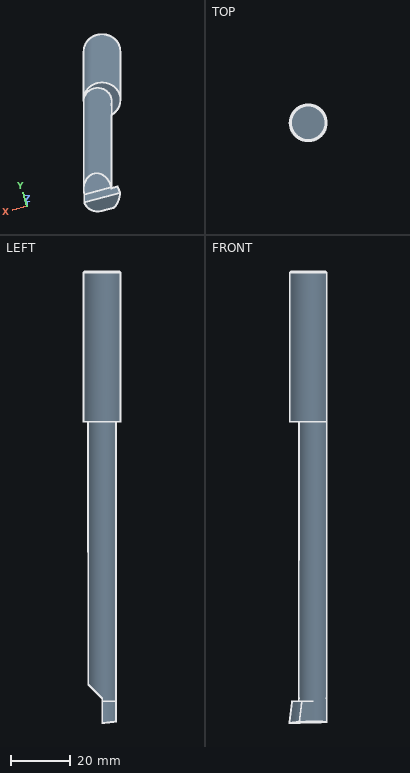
import cadquery as cq
import math

total_length = 152.4
shank_diameter = 12.5
shank_length = 50.7
shank_chamfer = 0.5
neck_diameter = 9.5
relief_height = 8.4
head_height = 7.5
tip_x = -6.4
head_lean = 0.9
knee_x, knee_y = -4.3, -3.7
heel_x = -3.0
flank_bulge = 0.23
end_rise_across = 0.3
end_rise_back = 0.5

shank_radius = shank_diameter / 2
neck_radius = neck_diameter / 2
neck_x = shank_radius - neck_radius


def make_shank():
    shank = cq.Workplane("XY").workplane(offset=total_length - shank_length)
    return shank.circle(shank_radius).extrude(shank_length).faces(">Z").chamfer(shank_chamfer)


def make_neck():
    neck_length = total_length - shank_length
    neck = cq.Workplane("XY").center(neck_x, 0).circle(neck_radius).extrude(neck_length)
    relief = (
        cq.Workplane("YZ")
        .moveTo(0, 0)
        .lineTo(0, relief_height)
        .lineTo(shank_diameter, relief_height + shank_diameter)
        .lineTo(shank_diameter, 0)
        .close()
        .extrude(shank_diameter, both=True)
    )
    return neck.cut(relief)


def draw_head_section(plane, shift):
    """Head outline with its cutting flank moved along X by shift."""
    chord_x = knee_x - tip_x
    chord = math.hypot(chord_x, knee_y)
    bulge_x = (tip_x + knee_x) / 2 + flank_bulge * knee_y / chord
    bulge_y = knee_y / 2 - flank_bulge * chord_x / chord
    return (
        plane.moveTo(neck_x, 0)
        .lineTo(tip_x + shift, 0)
        .threePointArc((bulge_x + shift, bulge_y), (knee_x + shift, knee_y))
        .lineTo(heel_x + shift, -neck_radius)
        .lineTo(neck_x, -neck_radius)
        .close()
    )


def make_head():
    lower = draw_head_section(cq.Workplane("XY"), 0)
    upper = draw_head_section(lower.workplane(offset=head_height), head_lean)
    return upper.loft(ruled=True, combine=True)


def make_end_trim():
    """Block whose upper face clears the end of the tool away from the tip."""
    across = cq.Vector(shank_radius - tip_x, 0, end_rise_across)
    back = cq.Vector(0, -neck_radius, end_rise_back)
    downward = across.cross(back)
    plane = cq.Plane(origin=(tip_x, 0, 0), xDir=across, normal=downward)
    block_size = 4 * shank_diameter
    return cq.Workplane(plane).rect(block_size, block_size).extrude(shank_diameter)


result = make_shank().union(make_neck()).union(make_head()).cut(make_end_trim())